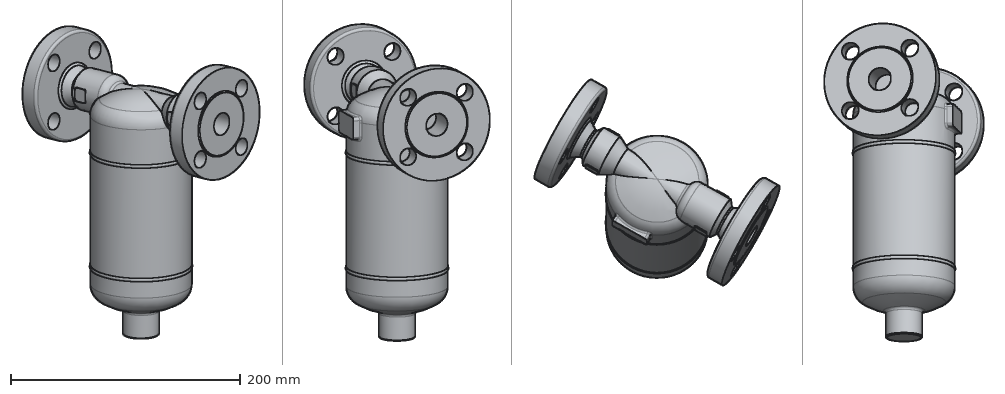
import cadquery as cq
import math

total_height = 260.0
total_length = 191.0
flange_diameter = 100.0
end_x = total_length / 2
pipe_z = total_height - flange_diameter / 2

face_diameter = 58.8
face_tip_diameter = 56.2
face_height = 0.9
flange_thickness = 15.9
flange_edge_radius = 2.52
bolt_hole_diameter = 15.0
bolt_circle_diameter = 75.1
bolt_count = 4
bore_diameter = 20.0

hub_root_radius = 20.8
hub_foot_radius = 18.5
hub_foot_length = 1.5
neck_radius = 27.3 / 2
neck_outer_x = 69.7
neck_inner_x = 67.9
nozzle_radius = 38.0 / 2
nozzle_outer_x = 64.0
pipe_radius = 13.0
inlet_shoulder_x = 34.3
inlet_round_radius = 7.8
inlet_blend_radius = 2.5
outlet_cone_outer_x = 47.5
outlet_cone_inner_x = 36.5

pad_size = 12.5
pad_corner_radius = 1.8
pad_x = 54.9
pad_face_y = nozzle_radius

body_radius = 89.0 / 2
knuckle_radius = 16.5
crown_radius = 72.0
drain_radius = 32.2 / 2
drain_chamfer = 1.0
drain_fillet = 2.5
lower_tangent_z = 46.0
bead_center_heights = (62.1, 165.4)
bead_height = 3.0
bead_bulge = 0.5

plate_width = 34.8
plate_height = 20.0
plate_bottom_z = 183.5
plate_face_y = 47.5
plate_corner_radius = 2.5
plate_root_fillet = 2.0

knuckle_center_radius = body_radius - knuckle_radius
crown_angle = math.asin(knuckle_center_radius / (crown_radius - knuckle_radius))
crown_center_offset = (crown_radius - knuckle_radius) * math.cos(crown_angle)
dish_depth = crown_radius - crown_center_offset
upper_tangent_z = pipe_z + pipe_radius - dish_depth


def knuckle_point(angle):
    """Radius and axial depth on the knuckle, at an angle from the vessel axis."""
    radius = knuckle_center_radius + knuckle_radius * math.sin(angle)
    return radius, knuckle_radius * math.cos(angle)


def crown_point(angle):
    """Radius and axial depth on the crown, at an angle from the vessel axis."""
    return crown_radius * math.sin(angle), crown_radius * math.cos(angle) - crown_center_offset


def make_vessel():
    knuckle_mid_r, knuckle_mid_depth = knuckle_point((crown_angle + math.pi / 2) / 2)
    knuckle_end_r, knuckle_end_depth = knuckle_point(crown_angle)
    crown_mid_r, crown_mid_depth = crown_point(crown_angle / 2)
    half_profile = (
        cq.Workplane("XZ")
        .moveTo(0, lower_tangent_z - dish_depth)
        .threePointArc(
            (crown_mid_r, lower_tangent_z - crown_mid_depth),
            (knuckle_end_r, lower_tangent_z - knuckle_end_depth),
        )
        .threePointArc(
            (knuckle_mid_r, lower_tangent_z - knuckle_mid_depth),
            (body_radius, lower_tangent_z),
        )
    )
    for bead_z in bead_center_heights:
        half_profile = half_profile.lineTo(body_radius, bead_z - bead_height / 2).threePointArc(
            (body_radius + bead_bulge, bead_z), (body_radius, bead_z + bead_height / 2)
        )
    half_profile = (
        half_profile.lineTo(body_radius, upper_tangent_z)
        .threePointArc(
            (knuckle_mid_r, upper_tangent_z + knuckle_mid_depth),
            (knuckle_end_r, upper_tangent_z + knuckle_end_depth),
        )
        .threePointArc(
            (crown_mid_r, upper_tangent_z + crown_mid_depth),
            (0, upper_tangent_z + dish_depth),
        )
        .close()
    )
    return half_profile.revolve(360, (0, 0, 0), (0, 1, 0))


def add_drain(vessel):
    stub = cq.Workplane("XY").circle(drain_radius).extrude(lower_tangent_z)
    crown_depth_at_stub = math.sqrt(crown_radius**2 - drain_radius**2) - crown_center_offset
    root_center = (0, 0, lower_tangent_z - crown_depth_at_stub)
    joined = vessel.union(stub)
    joined = joined.edges(cq.selectors.NearestToPointSelector(root_center)).fillet(drain_fillet)
    return joined.faces("<Z").edges().chamfer(drain_chamfer)


def add_name_plate(vessel):
    plate = (
        cq.Workplane("XZ")
        .center(0, plate_bottom_z + plate_height / 2)
        .rect(plate_width, plate_height)
        .extrude(-plate_face_y)
        .edges("|Y")
        .fillet(plate_corner_radius)
    )
    margin = 0.3
    plate_box = cq.selectors.BoxSelector(
        (-plate_width / 2 - margin, 0, plate_bottom_z - margin),
        (plate_width / 2 + margin, plate_face_y - margin, plate_bottom_z + plate_height + margin),
    )
    joined = vessel.union(plate)
    return joined.edges(plate_box).edges("not |Y").fillet(plate_root_fillet)


def revolve_about_pipe(half_profile):
    return half_profile.revolve(360, (0, 0, 0), (1, 0, 0)).translate((0, 0, pipe_z))


def flange_and_nozzle_profile():
    """Half profile of a +X flange, weld neck and nozzle, open where the shoulder begins."""
    flange_radius = flange_diameter / 2
    flange_outer_x = end_x - face_height
    flange_inner_x = flange_outer_x - flange_thickness
    edge_mid = flange_edge_radius * (1 - math.sqrt(0.5))
    return (
        cq.Workplane("XZ")
        .moveTo(0, 0)
        .lineTo(end_x, 0)
        .lineTo(end_x, face_tip_diameter / 2)
        .lineTo(flange_outer_x, face_diameter / 2)
        .lineTo(flange_outer_x, flange_radius)
        .lineTo(flange_inner_x + flange_edge_radius, flange_radius)
        .threePointArc(
            (flange_inner_x + edge_mid, flange_radius - edge_mid),
            (flange_inner_x, flange_radius - flange_edge_radius),
        )
        .lineTo(flange_inner_x, hub_root_radius)
        .lineTo(flange_inner_x - hub_foot_length, hub_foot_radius)
        .lineTo(neck_outer_x, neck_radius)
        .lineTo(neck_inner_x, neck_radius)
        .lineTo(nozzle_outer_x, nozzle_radius)
    )


def make_outlet():
    half_profile = (
        flange_and_nozzle_profile()
        .lineTo(outlet_cone_outer_x, nozzle_radius)
        .lineTo(outlet_cone_inner_x, pipe_radius)
        .lineTo(0, pipe_radius)
        .close()
    )
    return revolve_about_pipe(half_profile)


def make_inlet():
    """Mirror of the outlet, but with an S-shaped shoulder of two tangent arcs."""
    radius_sum = inlet_round_radius + inlet_blend_radius
    sweep = math.acos(1 - (nozzle_radius - pipe_radius) / radius_sum)
    blend_end_x = inlet_shoulder_x - radius_sum * math.sin(sweep)

    def round_point(angle):
        return (
            inlet_shoulder_x - inlet_round_radius * math.sin(angle),
            nozzle_radius - inlet_round_radius * (1 - math.cos(angle)),
        )

    def blend_point(angle):
        return (
            blend_end_x + inlet_blend_radius * math.sin(angle),
            pipe_radius + inlet_blend_radius * (1 - math.cos(angle)),
        )

    half_profile = (
        flange_and_nozzle_profile()
        .lineTo(inlet_shoulder_x, nozzle_radius)
        .threePointArc(round_point(sweep / 2), round_point(sweep))
        .threePointArc(blend_point(sweep / 2), (blend_end_x, pipe_radius))
        .lineTo(0, pipe_radius)
        .close()
    )
    return revolve_about_pipe(half_profile).mirror("YZ")


def make_pads():
    return (
        cq.Workplane("XZ")
        .pushPoints([(-pad_x, pipe_z), (pad_x, pipe_z)])
        .rect(pad_size, pad_size)
        .extrude(pad_face_y, both=True)
        .edges("|Y")
        .fillet(pad_corner_radius)
    )


def make_flange_holes():
    """Blind bores that end inside the weld necks, and bolt holes through both flanges."""
    bore_depth = end_x - neck_inner_x
    bolt_hole_depth = face_height + flange_thickness
    face_plane = cq.Workplane("YZ", origin=(end_x, 0, pipe_z))
    bore = face_plane.circle(bore_diameter / 2).extrude(-bore_depth)
    bolt_holes = (
        face_plane.polarArray(bolt_circle_diameter / 2, 180 / bolt_count, 360, bolt_count)
        .circle(bolt_hole_diameter / 2)
        .extrude(-bolt_hole_depth)
    )
    outlet_holes = bore.union(bolt_holes)
    return outlet_holes.union(outlet_holes.mirror("YZ"))


vessel = add_name_plate(add_drain(make_vessel()))
piping = make_inlet().union(make_outlet()).union(make_pads())
result = vessel.union(piping).cut(make_flange_holes())